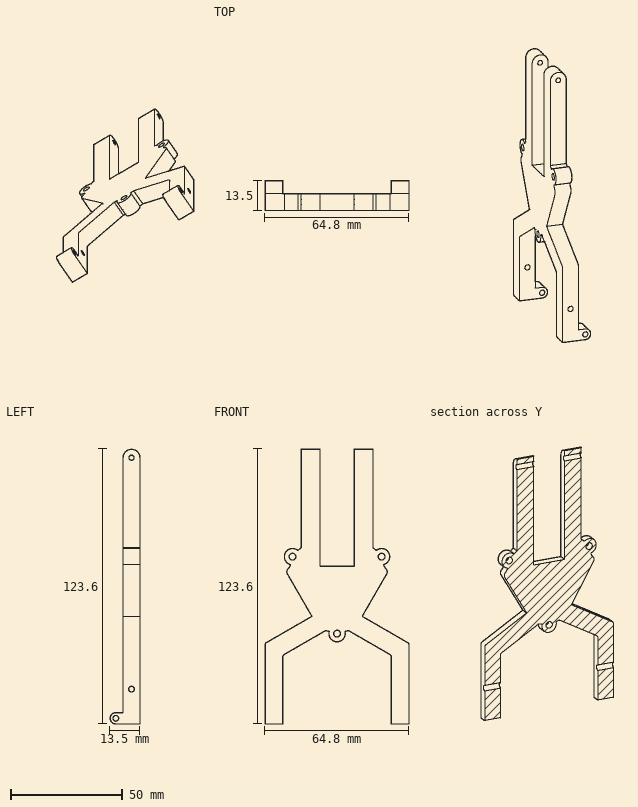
import cadquery as cq
import math

height = 123.6
half_width = 32.4
thickness = 7.7
depth = 13.5
mid_y = thickness / 2

prong_outer_x = 16.2
prong_inner_x = 7.7
slot_floor_z = 71.1
prong_radius = thickness / 2
prong_end_z = height - prong_radius
prong_hole = 2.2

leg_width = 8.0
leg_inner_x = half_width - leg_width
arm_slope = math.tan(math.radians(30))
waist_x = 11.4
waist_z = 48.5
shoulder_z = waist_z - (half_width - waist_x) * arm_slope
arm_underside_z = 30.9
crotch_x = 5.2
crotch_z = arm_underside_z + (leg_inner_x - crotch_x) * arm_slope
shoulder_fillet = 1.2
leg_hole = 2.5
leg_hole_z = 15.7

lip_bottom_z = 67.5
lip_bottom_x = waist_x + (lip_bottom_z - waist_z) * arm_slope
lip_middle = (22.6, 68.6)
lip_top = (21.9, 70.0)
lip_notch = (21.3, 71.0)
lip_root = (20.8, 72.3)

lug_radius = 3.7
lug_hole = 3.0
side_lug_x = 20.0
side_lug_z = 75.3
bottom_lug_z = 40.7
bottom_lug_root_z = 41.7
side_lug_notch = (17.5, 78.1)
prong_root_z = 79.4

foot_height = 5.2
foot_radius = foot_height / 2
foot_hole = 2.5
foot_center_y = depth - foot_radius


def extrude_in_y(sketch):
    """Extrude an XZ sketch from Y = 0 to the back face."""
    return sketch.extrude(-thickness)


def rod_along_x(diameter, y, z):
    """Cylinder spanning the full width of the part."""
    return (
        cq.Workplane("YZ", origin=(-half_width, 0, 0))
        .center(y, z)
        .circle(diameter / 2)
        .extrude(2 * half_width)
    )


def prong_end():
    """Rounded tip of the right prong."""
    return (
        cq.Workplane("YZ", origin=(prong_inner_x, 0, 0))
        .center(mid_y, prong_end_z)
        .circle(prong_radius)
        .extrude(prong_outer_x - prong_inner_x)
    )


def half_plate():
    """Right half of the flat plate: body, prong, arm and leg."""
    outline = (
        cq.Workplane("XZ")
        .moveTo(0, slot_floor_z)
        .lineTo(prong_inner_x, slot_floor_z)
        .lineTo(prong_inner_x, prong_end_z)
        .lineTo(prong_outer_x, prong_end_z)
        .lineTo(prong_outer_x, prong_root_z)
        .lineTo(*side_lug_notch)
        .lineTo(*lip_root)
        .lineTo(*lip_notch)
        .lineTo(*lip_top)
        .threePointArc(lip_middle, (lip_bottom_x, lip_bottom_z))
        .lineTo(waist_x, waist_z)
        .lineTo(half_width, shoulder_z)
        .lineTo(half_width, 0)
        .lineTo(leg_inner_x, 0)
        .lineTo(leg_inner_x, arm_underside_z)
        .lineTo(crotch_x, crotch_z)
        .lineTo(lug_radius, bottom_lug_root_z)
        .lineTo(0, bottom_lug_root_z)
        .close()
    )
    plate = extrude_in_y(outline)
    for x, z in ((half_width, shoulder_z), (leg_inner_x, arm_underside_z)):
        plate = plate.edges(cq.NearestToPointSelector((x, mid_y, z))).fillet(shoulder_fillet)
    return plate.union(prong_end())


def foot():
    """Round-ended foot behind the right leg."""
    foot_block = cq.Workplane("XY").box(leg_width, foot_center_y, foot_height, centered=False)
    foot_end = cq.Workplane("YZ").center(foot_center_y, foot_radius).circle(foot_radius).extrude(leg_width)
    return foot_block.union(foot_end).translate((leg_inner_x, 0, 0))


half = half_plate().union(foot())
result = half.union(half.mirror("YZ"))

lug_centers = [(-side_lug_x, side_lug_z), (side_lug_x, side_lug_z), (0, bottom_lug_z)]
lug_sketch = cq.Workplane("XZ").pushPoints(lug_centers)
result = result.union(extrude_in_y(lug_sketch.circle(lug_radius)))
result = result.cut(extrude_in_y(lug_sketch.circle(lug_hole / 2)))

cross_holes = [
    (prong_hole, mid_y, prong_end_z),
    (leg_hole, mid_y, leg_hole_z),
    (foot_hole, foot_center_y, foot_radius),
]
for diameter, y, z in cross_holes:
    result = result.cut(rod_along_x(diameter, y, z))